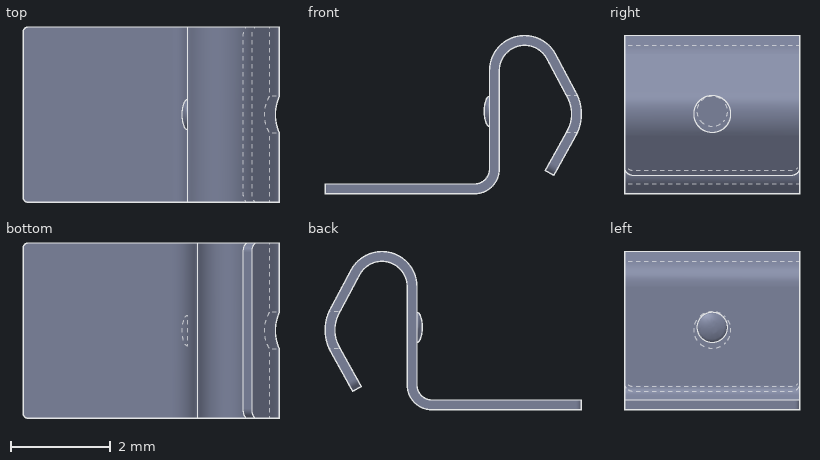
import cadquery as cq
import math

length = 5.13
width = 3.51
height = 3.17

thickness = 0.2
wall_x = 3.29
foot_bend_inner = 0.3
crown_outer = 0.705
bulge_outer = 0.9
upper_arm_tilt = 28.0
lower_arm_tilt = 29.0
tip_z = 0.37

foot_corner_radius = 0.105
tip_corner_radius = 0.185
dome_radius = 0.305
dome_height = 0.11
dome_z = 1.65
hole_radius = 0.37

foot_bend_outer = foot_bend_inner + thickness
foot_bend_center = (wall_x - foot_bend_inner, foot_bend_outer)
crown_center = (wall_x + crown_outer, height - crown_outer)
upper_tilt = math.radians(upper_arm_tilt)
bulge_x = length - bulge_outer
bulge_drop = (
    bulge_outer - crown_outer + (bulge_x - crown_center[0]) * math.cos(upper_tilt)
) / math.sin(upper_tilt)
bulge_center = (bulge_x, crown_center[1] - bulge_drop)


def on_circle(center, radius, degrees):
    """Point (x, z) on a circle, with the angle measured from +X towards +Z."""
    angle = math.radians(degrees)
    return (center[0] + radius * math.cos(angle), center[1] + radius * math.sin(angle))


def tip_point(offset, arm_length):
    """End of the lower arm at a radial offset from the bulge centre."""
    start_x, start_z = on_circle(bulge_center, offset, -lower_arm_tilt)
    tilt = math.radians(lower_arm_tilt)
    return (start_x - arm_length * math.sin(tilt), start_z - arm_length * math.cos(tilt))


def bent_strip():
    """Constant-thickness strip: foot, wall, crown, upper arm, bulge and lower arm."""
    crown_inner = crown_outer - thickness
    bulge_inner = bulge_outer - thickness
    crown_middle = (180 + upper_arm_tilt) / 2
    bulge_middle = (upper_arm_tilt - lower_arm_tilt) / 2
    bulge_end_z = on_circle(bulge_center, bulge_outer, -lower_arm_tilt)[1]
    arm_length = (bulge_end_z - tip_z) / math.cos(math.radians(lower_arm_tilt))

    profile = (
        cq.Workplane("XZ")
        .moveTo(0, 0)
        .lineTo(foot_bend_center[0], 0)
        .threePointArc(
            on_circle(foot_bend_center, foot_bend_outer, -45),
            on_circle(foot_bend_center, foot_bend_outer, 0),
        )
        .lineTo(*on_circle(crown_center, crown_inner, 180))
        .threePointArc(
            on_circle(crown_center, crown_inner, crown_middle),
            on_circle(crown_center, crown_inner, upper_arm_tilt),
        )
        .lineTo(*on_circle(bulge_center, bulge_inner, upper_arm_tilt))
        .threePointArc(
            on_circle(bulge_center, bulge_inner, bulge_middle),
            on_circle(bulge_center, bulge_inner, -lower_arm_tilt),
        )
        .lineTo(*tip_point(bulge_inner, arm_length))
        .lineTo(*tip_point(bulge_outer, arm_length))
        .lineTo(*on_circle(bulge_center, bulge_outer, -lower_arm_tilt))
        .threePointArc(
            on_circle(bulge_center, bulge_outer, bulge_middle),
            on_circle(bulge_center, bulge_outer, upper_arm_tilt),
        )
        .lineTo(*on_circle(crown_center, crown_outer, upper_arm_tilt))
        .threePointArc(
            on_circle(crown_center, crown_outer, crown_middle),
            on_circle(crown_center, crown_outer, 180),
        )
        .lineTo(*on_circle(foot_bend_center, foot_bend_inner, 0))
        .threePointArc(
            on_circle(foot_bend_center, foot_bend_inner, -45),
            on_circle(foot_bend_center, foot_bend_inner, -90),
        )
        .lineTo(0, thickness)
        .close()
    )
    return profile.extrude(width / 2, both=True)


def round_corners(strip):
    """Round the two free corners of the foot and the two of the arm tip."""
    tilt = math.radians(lower_arm_tilt)
    across_arm = cq.Vector(math.cos(tilt), 0, -math.sin(tilt))
    strip = strip.faces("<X").edges("|Z").fillet(foot_corner_radius)
    return strip.edges(cq.selectors.ParallelDirSelector(across_arm)).fillet(tip_corner_radius)


def dome():
    """Shallow half-ellipse dome on the outer face of the wall."""
    half_section = (
        cq.Workplane("XY", origin=(wall_x, 0, dome_z))
        .lineTo(-dome_height, 0)
        .ellipseArc(dome_height, dome_radius, 90, 180, startAtCurrent=True, sense=-1)
        .close()
    )
    return half_section.revolve(360, (0, 0, 0), (1, 0, 0))


def bulge_hole():
    """Round hole along X through the middle of the bulge."""
    return (
        cq.Workplane("YZ", origin=(bulge_center[0], 0, bulge_center[1]))
        .circle(hole_radius)
        .extrude(bulge_outer)
    )


result = round_corners(bent_strip()).union(dome()).cut(bulge_hole())